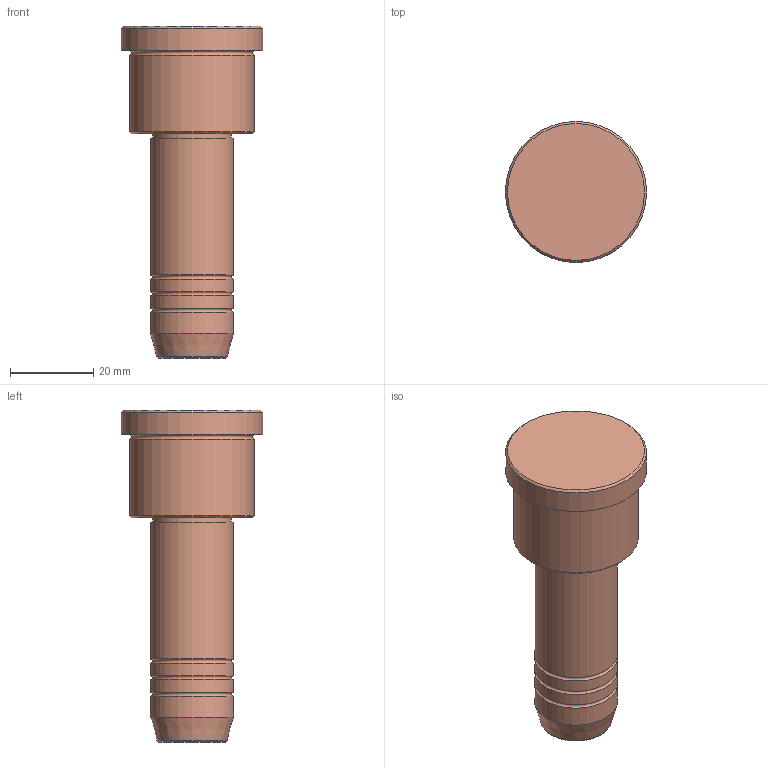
import cadquery as cq
import math

TOTAL_LENGTH = 80.0
HEAD_RADIUS = 17.0
HEAD_HEIGHT = 6.0
COLLAR_RADIUS = 15.0
COLLAR_HEIGHT = 20.0
SHANK_RADIUS = 10.0
RIM_CHAMFER = 0.5

LEAD_HEIGHT = 6.0
LEAD_ANGLE = 15.0
TIP_FILLET = 0.5

HEAD_GROOVE_RADIUS = 0.5

NECK_HEIGHT = 1.0
NECK_DEPTH = 0.5

OIL_GROOVE_COUNT = 3
OIL_GROOVE_RADIUS = 0.5
OIL_GROOVE_PITCH = 4.0
LOWEST_OIL_GROOVE_Z = 11.5

head_bottom_z = TOTAL_LENGTH - HEAD_HEIGHT
collar_bottom_z = head_bottom_z - COLLAR_HEIGHT

AXIS_START = (0, 0)
AXIS_END = (0, 1)


def cylinder(radius, bottom_z, top_z):
    return cq.Workplane("XY").workplane(offset=bottom_z).circle(radius).extrude(top_z - bottom_z)


def make_head():
    """Flange with a chamfered top rim."""
    head = cylinder(HEAD_RADIUS, head_bottom_z, TOTAL_LENGTH)
    return head.faces(">Z").edges().chamfer(RIM_CHAMFER)


def make_collar():
    """Fitting diameter under the head, chamfered at its lower rim."""
    collar = cylinder(COLLAR_RADIUS, collar_bottom_z, head_bottom_z)
    return collar.faces("<Z").edges().chamfer(RIM_CHAMFER)


def make_shank():
    """Long cylinder ending in a tapered tip with a rounded lower rim."""
    tip_radius = SHANK_RADIUS - LEAD_HEIGHT * math.tan(math.radians(LEAD_ANGLE))
    shank = (
        cq.Workplane("XZ")
        .moveTo(0, 0)
        .lineTo(tip_radius, 0)
        .lineTo(SHANK_RADIUS, LEAD_HEIGHT)
        .lineTo(SHANK_RADIUS, collar_bottom_z)
        .lineTo(0, collar_bottom_z)
        .close()
        .revolve(360, AXIS_START, AXIS_END)
    )
    return shank.faces("<Z").edges().fillet(TIP_FILLET)


def round_groove(surface_radius, center_z, groove_radius):
    """Ring of half-round section that cuts a groove into a cylinder of the given radius."""
    return (
        cq.Workplane("XZ")
        .moveTo(surface_radius, center_z - groove_radius)
        .threePointArc(
            (surface_radius - groove_radius, center_z),
            (surface_radius, center_z + groove_radius),
        )
        .close()
        .revolve(360, AXIS_START, AXIS_END)
    )


def neck_relief():
    """Ring that narrows the shank right under the collar."""
    bottom_z = collar_bottom_z - NECK_HEIGHT
    outer = cylinder(SHANK_RADIUS, bottom_z, collar_bottom_z)
    core = cylinder(SHANK_RADIUS - NECK_DEPTH, bottom_z, collar_bottom_z)
    return outer.cut(core)


pin = make_head().union(make_collar()).union(make_shank())

head_groove_z = head_bottom_z - HEAD_GROOVE_RADIUS
pin = pin.cut(round_groove(COLLAR_RADIUS, head_groove_z, HEAD_GROOVE_RADIUS))
pin = pin.cut(neck_relief())

for index in range(OIL_GROOVE_COUNT):
    oil_groove_z = LOWEST_OIL_GROOVE_Z + index * OIL_GROOVE_PITCH
    pin = pin.cut(round_groove(SHANK_RADIUS, oil_groove_z, OIL_GROOVE_RADIUS))

result = pin.solids()